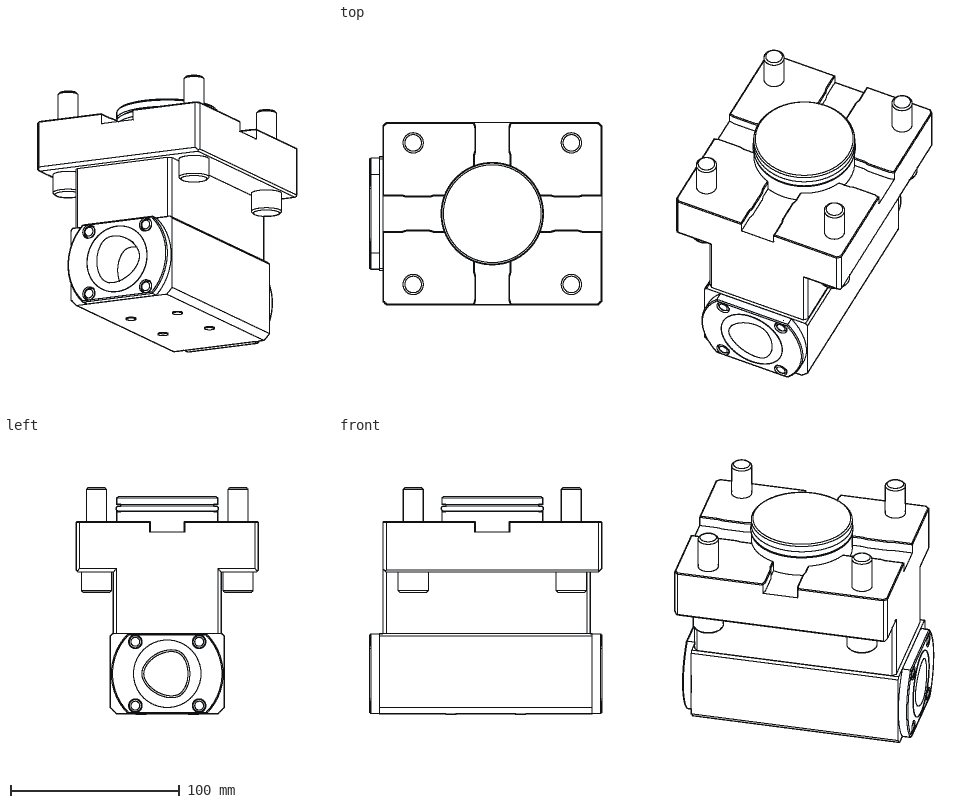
import cadquery as cq
import math


PLATE_LENGTH = 129.7
PLATE_WIDTH = 108.0
PLATE_TOP = 113.8
PLATE_BOTTOM = 83.9
CORNER_CHAMFER = 2.1
PLATE_SIDE_CHAMFER = 1.2
TOP_EDGE_CHAMFER = 0.5

NECK_WIDTH = 64.1
NECK_RIGHT = 58.1
NECK_LEFT = -PLATE_LENGTH / 2

SLOT_DEPTH = 6.2
SLOT_HALF_WIDTH = 10.5
SLOT_PAD_HALF_WIDTH = 9.8
PAD_START = 37.1
PAD_END = 50.9
PAD_RAMP = 2.5
SLOT_OVERRUN = 1.4

PISTON_DIAMETER = 59.9
PISTON_TOP = 128.7
PISTON_CHAMFER = 1.0
GROOVE_DIAMETER = 55.2
GROOVE_TOP = 124.0
GROOVE_BOTTOM = 119.7
SEAL_DIAMETER = 60.7
SEAL_SECTION = 3.0
SEAL_HEIGHT = 121.5

SCREW_SPACING_X = 93.7
SCREW_SPACING_Y = 83.9
SCREW_DIAMETER = 12.0
SCREW_TOP = 134.0
SCREW_HEAD_DIAMETER = 18.0
SCREW_HEAD_HEIGHT = 12.0
SCREW_CHAMFER = 1.1

PLUG_DIAMETER = 14.0
PLUG_X = 54.0
PLUG_Y = 26.0
PLUG_DEPTH = 4.1

TOTAL_LENGTH = 138.0
HOUSING_X = -3.9
HOUSING_LENGTH = 126.1
HOUSING_WIDTH = 67.6
HOUSING_HEIGHT = 47.5
HOUSING_TOP_CHAMFER = 1.4
HOUSING_BOTTOM_CHAMFER = 3.7
SPINDLE_HEIGHT = HOUSING_HEIGHT / 2

FLANGE_DIAMETER = 66.2
FLANGE_FLAT_HEIGHT = 47.2
FLANGE_CHAMFER = 0.7
NOSE_DIAMETER = 40.0
NOSE_RAISE = 0.3
NOSE_END = TOTAL_LENGTH / 2
FLANGE_FACE = NOSE_END - NOSE_RAISE
FLANGE_THICKNESS = FLANGE_FACE - HOUSING_LENGTH / 2

FLANGE_SCREW_OFFSET = 18.9
FLANGE_SCREW_HOLE = 8.0
FLANGE_SCREW_DIAMETER = 7.2
FLANGE_SCREW_TIP = 5.2
FLANGE_SCREW_HOLE_DEPTH = 2.8
FLANGE_SCREW_RECESS = 0.3

FLANGE_PIN_DIAMETER = 8.0
FLANGE_PIN_OFFSET = 27.9
FLANGE_PIN_DEPTH = 4.1

BORE_MEAN_RADIUS = 14.2
BORE_LOBE = 0.8
BORE_DEPTH = 24.8
BORE_NARROWING = 1.1

BUTTON_DIAMETER = 6.0
BUTTON_HEIGHT = 0.5
BUTTON_SPACING_X = 41.4
BUTTON_SPACING_Y = 30.9


def box(x_range, y_range, z_range):
    """Box between the given limits along each axis."""
    size = [high - low for low, high in (x_range, y_range, z_range)]
    corner = (x_range[0], y_range[0], z_range[0])
    return cq.Workplane("XY").box(*size, centered=False).translate(corner)


def slot_arm(end):
    """Cutter for one slot from the centre towards +X, narrowed by a pad on each wall."""
    upper = [
        (0, SLOT_HALF_WIDTH),
        (PAD_START - PAD_RAMP, SLOT_HALF_WIDTH),
        (PAD_START, SLOT_PAD_HALF_WIDTH),
        (PAD_END, SLOT_PAD_HALF_WIDTH),
        (PAD_END + PAD_RAMP, SLOT_HALF_WIDTH),
        (end + SLOT_OVERRUN, SLOT_HALF_WIDTH),
    ]
    lower = [(x, -y) for x, y in reversed(upper)]
    floor = cq.Workplane("XY").workplane(offset=PLATE_TOP - SLOT_DEPTH)
    return floor.polyline(upper + lower).close().extrude(SLOT_DEPTH + SLOT_OVERRUN)


def mounting_plate():
    half_length = PLATE_LENGTH / 2
    half_width = PLATE_WIDTH / 2
    plate = box((-half_length, half_length), (-half_width, half_width), (PLATE_BOTTOM, PLATE_TOP))
    plate = plate.edges("|Z").chamfer(CORNER_CHAMFER)
    plate = plate.faces("<Z").edges("|Y").chamfer(CORNER_CHAMFER)
    plate = plate.faces("<Z").edges("|X").chamfer(PLATE_SIDE_CHAMFER)
    for turn in range(4):
        end = half_length if turn % 2 == 0 else half_width
        plate = plate.cut(slot_arm(end).rotate((0, 0, 0), (0, 0, 1), 90 * turn))
    return plate.faces(">Z").edges().chamfer(TOP_EDGE_CHAMFER)


def neck():
    """Neck below the plate; it reaches up into the plate so both share a flush left face."""
    half_width = NECK_WIDTH / 2
    column_top = PLATE_TOP - SLOT_DEPTH
    column = box((NECK_LEFT, NECK_RIGHT), (-half_width, half_width), (HOUSING_HEIGHT, column_top))
    return column.edges("|Z").chamfer(CORNER_CHAMFER)


def piston():
    radius = PISTON_DIAMETER / 2
    groove_radius = GROOVE_DIAMETER / 2
    profile = [
        (0, PLATE_BOTTOM),
        (radius, PLATE_BOTTOM),
        (radius, GROOVE_BOTTOM),
        (groove_radius, GROOVE_BOTTOM),
        (groove_radius, GROOVE_TOP),
        (radius, GROOVE_TOP),
        (radius, PISTON_TOP - PISTON_CHAMFER),
        (radius - PISTON_CHAMFER, PISTON_TOP),
        (0, PISTON_TOP),
    ]
    body = cq.Workplane("XZ").polyline(profile).close().revolve(360, (0, 0), (0, 1))
    ring_radius = (SEAL_DIAMETER - SEAL_SECTION) / 2
    section = cq.Workplane("XZ").center(ring_radius, SEAL_HEIGHT).circle(SEAL_SECTION / 2)
    seal = section.revolve(360, (-ring_radius, 0), (-ring_radius, 1))
    return body.union(seal)


def clamping_screws():
    head_bottom = PLATE_BOTTOM - SCREW_HEAD_HEIGHT
    plane = cq.Workplane("XY").workplane(offset=head_bottom)
    head = plane.circle(SCREW_HEAD_DIAMETER / 2).extrude(SCREW_HEAD_HEIGHT + PLATE_SIDE_CHAMFER)
    head = head.faces("<Z").chamfer(SCREW_CHAMFER)
    shank = plane.circle(SCREW_DIAMETER / 2).extrude(SCREW_TOP - head_bottom)
    shank = shank.faces(">Z").chamfer(SCREW_CHAMFER)
    screw = head.union(shank).val()
    places = cq.Workplane("XY").rarray(SCREW_SPACING_X, SCREW_SPACING_Y, 2, 2)
    return places.eachpoint(lambda place: screw.moved(place))


def spindle_housing():
    half_length = HOUSING_LENGTH / 2
    half_width = HOUSING_WIDTH / 2
    housing = box((-half_length, half_length), (-half_width, half_width), (0, HOUSING_HEIGHT))
    housing = housing.edges("|X and >Z").chamfer(HOUSING_TOP_CHAMFER)
    housing = housing.edges("|X and <Z").chamfer(HOUSING_BOTTOM_CHAMFER)
    buttons = (
        cq.Workplane("XY")
        .rarray(BUTTON_SPACING_X, BUTTON_SPACING_Y, 2, 2)
        .circle(BUTTON_DIAMETER / 2)
        .extrude(-BUTTON_HEIGHT)
    )
    return housing.union(buttons)


def flange_plane(distance):
    """Plane facing -X on the spindle axis, at a distance from the housing middle; local x is -Y."""
    origin = (-distance, 0, SPINDLE_HEIGHT)
    return cq.Workplane(cq.Plane(origin=origin, xDir=(0, -1, 0), normal=(-1, 0, 0)))


def flange_screw_places(distance):
    spacing = 2 * FLANGE_SCREW_OFFSET
    return flange_plane(distance).rarray(spacing, spacing, 2, 2)


def end_flange():
    """Round flange with flats above and below, four sunk screws and the spindle nose."""
    seat = flange_plane(HOUSING_LENGTH / 2)
    flange = seat.circle(FLANGE_DIAMETER / 2).extrude(FLANGE_THICKNESS)
    flats = seat.rect(FLANGE_DIAMETER, FLANGE_FLAT_HEIGHT).extrude(FLANGE_THICKNESS)
    flange = flange.intersect(flats)
    flange = flange.faces("<X").edges().chamfer(FLANGE_CHAMFER)

    holes = flange_screw_places(FLANGE_FACE).circle(FLANGE_SCREW_HOLE / 2)
    flange = flange.cut(holes.extrude(-FLANGE_SCREW_HOLE_DEPTH))
    screws = flange_screw_places(FLANGE_FACE - FLANGE_SCREW_HOLE_DEPTH)
    screws = screws.circle(FLANGE_SCREW_DIAMETER / 2)
    screws = screws.extrude(FLANGE_SCREW_HOLE_DEPTH - FLANGE_SCREW_RECESS)
    screws = screws.faces("<X").chamfer((FLANGE_SCREW_DIAMETER - FLANGE_SCREW_TIP) / 2)

    nose = seat.circle(NOSE_DIAMETER / 2).extrude(NOSE_END - HOUSING_LENGTH / 2)
    return flange.union(screws).union(nose)


def lobed_point(angle, mean_radius):
    """Point of the three-lobed curve whose tangent is square to the given direction."""
    reach = mean_radius + BORE_LOBE * math.cos(3 * angle)
    slide = -3 * BORE_LOBE * math.sin(3 * angle)
    across = reach * math.cos(angle) - slide * math.sin(angle)
    up = reach * math.sin(angle) + slide * math.cos(angle)
    return (-across, up)


def lobed_bore():
    """Blind bore with one lobe pointing to +Y, narrowing inwards."""
    floor_radius = BORE_MEAN_RADIUS - BORE_NARROWING
    mouth = flange_plane(NOSE_END)
    mouth = mouth.parametricCurve(lambda t: lobed_point(2 * math.pi * t, BORE_MEAN_RADIUS))
    outlines = mouth.workplane(offset=-BORE_DEPTH)
    outlines = outlines.parametricCurve(lambda t: lobed_point(2 * math.pi * t, floor_radius))
    return outlines.loft(ruled=True)


def flange_pins():
    face = flange_plane(FLANGE_FACE)
    pins = face.pushPoints([(-FLANGE_PIN_OFFSET, 0), (FLANGE_PIN_OFFSET, 0)])
    return pins.circle(FLANGE_PIN_DIAMETER / 2).extrude(-FLANGE_PIN_DEPTH)


def plate_plugs():
    top = cq.Workplane("XY").workplane(offset=PLATE_TOP)
    plugs = top.pushPoints([(-PLUG_X, PLUG_Y), (PLUG_X, -PLUG_Y)])
    return plugs.circle(PLUG_DIAMETER / 2).extrude(-PLUG_DEPTH)


def on_both_ends(feature):
    """The feature at the left end together with its mirror image at the right end."""
    return feature.union(feature.mirror("YZ")).translate((HOUSING_X, 0, 0))


result = spindle_housing().translate((HOUSING_X, 0, 0))
result = result.union(on_both_ends(end_flange())).cut(on_both_ends(lobed_bore()))
result = result.union(neck()).union(mounting_plate())
result = result.union(piston()).union(clamping_screws())

result = result.union(plate_plugs(), clean=False)
result = result.union(on_both_ends(flange_pins()), clean=False)